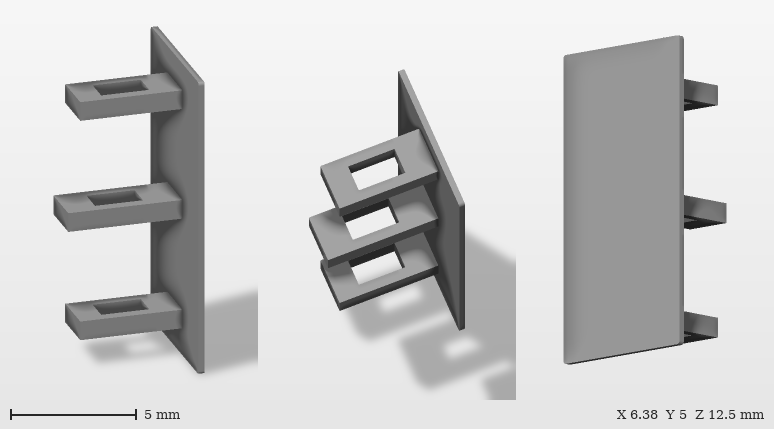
import cadquery as cq

PLATE_WIDTH = 6.38
PLATE_HEIGHT = 12.5
PLATE_THICKNESS = 0.25
CORNER_RADIUS = 0.13

PRONG_WIDTH = 2.0
PRONG_HEIGHT = 0.8
PRONG_PITCH = 4.7
OUTER_PRONG_LENGTH = 4.25
MIDDLE_PRONG_LENGTH = 4.75

WINDOW_WIDTH = 1.12
WINDOW_LENGTH = 2.0
OUTER_WINDOW_OFFSET = 1.24
MIDDLE_WINDOW_OFFSET = 1.5


def make_plate():
    """Thin plate with rounded corners; its prong-side face lies at Y = 0."""
    plate = cq.Workplane("XY").box(
        PLATE_WIDTH, PLATE_THICKNESS, PLATE_HEIGHT, centered=(True, False, True)
    )
    return plate.edges("|Y").fillet(CORNER_RADIUS)


def make_prong(length, window_offset, height_position):
    """Flat bar reaching from the back of the plate to Y = -length, with a window."""
    bar = cq.Workplane("XY").box(
        PRONG_WIDTH, length + PLATE_THICKNESS, PRONG_HEIGHT, centered=(True, False, True)
    )
    bar = bar.translate((0, -length, 0))
    window = cq.Workplane("XY").box(
        WINDOW_WIDTH, WINDOW_LENGTH, PRONG_HEIGHT, centered=(True, False, True)
    )
    window = window.translate((0, -window_offset - WINDOW_LENGTH, 0))
    return bar.cut(window).translate((0, 0, height_position))


result = make_plate()
for side in (-1, 1):
    result = result.union(make_prong(OUTER_PRONG_LENGTH, OUTER_WINDOW_OFFSET, side * PRONG_PITCH))
result = result.union(make_prong(MIDDLE_PRONG_LENGTH, MIDDLE_WINDOW_OFFSET, 0))